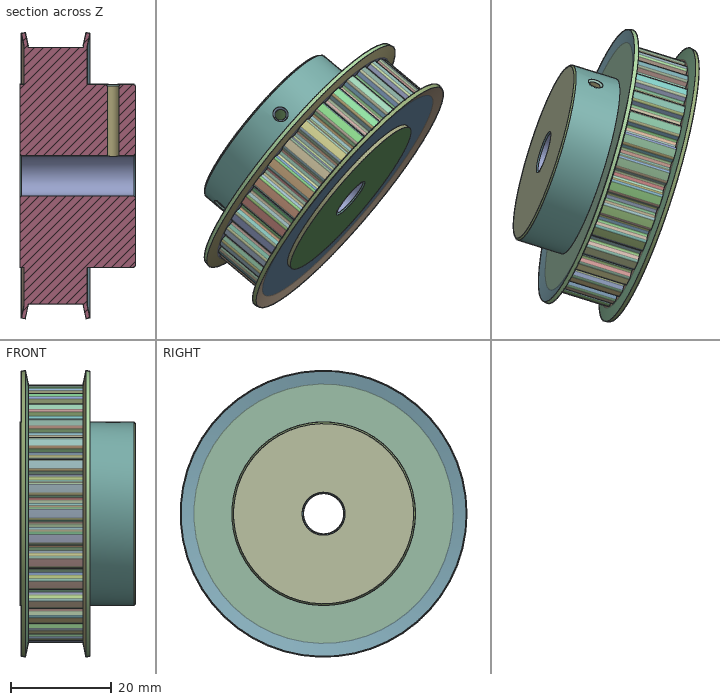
import cadquery as cq
import math


overall_length = 23.05
flange_diameter = 57.15

tooth_count = 32
tip_radius = 25.6
groove_depth = 1.45
groove_floor_width = 1.3
flank_angle = 25.0
tooth_fillet = 0.5
belt_width = 10.9
belt_start = 1.65

sheet_thickness = 0.85
bend_angle = 12.0
bend_radius = 25.85

hub_diameter = 36.6
bore_diameter = 8.0
hub_chamfer = 0.35
bore_chamfer = 0.3
screw_angles = (0.0, -90.0)
screw_diameter = 2.25
screw_mouth_diameter = 3.1
screw_position = 18.6

belt_center = belt_start + belt_width / 2
tooth_pitch_angle = 360.0 / tooth_count
cut_margin = 0.6


def make_hub():
    """Full-length cylinder that fills both flanges and forms the rear hub."""
    hub = cq.Workplane("YZ").circle(hub_diameter / 2).extrude(overall_length)
    return hub.faces(">X").chamfer(hub_chamfer)


def make_groove_cutter():
    """One belt groove at the top of the pulley, with straight flanks and sharp corners."""
    floor_radius = tip_radius - groove_depth
    cutter_top = tip_radius + cut_margin
    floor_half = groove_floor_width / 2
    top_half = floor_half + (cutter_top - floor_radius) * math.tan(math.radians(flank_angle))
    outline = [
        (-floor_half, floor_radius),
        (floor_half, floor_radius),
        (top_half, cutter_top),
        (-top_half, cutter_top),
    ]
    return cq.Workplane("YZ").polyline(outline).close().extrude(belt_width)


def make_toothed_rim():
    """Grooved wheel between the flanges, with a tooth centred on the Z axis."""
    rim = cq.Workplane("YZ").circle(tip_radius).extrude(belt_width)
    groove = make_groove_cutter()
    for index in range(tooth_count):
        angle = (index + 0.5) * tooth_pitch_angle
        rim = rim.cut(groove.rotate((0, 0, 0), (1, 0, 0), angle))
    rim = rim.edges("|X").fillet(tooth_fillet)
    return rim.translate((belt_start, 0, 0))


def make_flange(side):
    """Bent sheet flange; side is -1 for the front flange and 1 for the rear one."""
    bend = math.radians(bend_angle)
    rim_radius = flange_diameter / 2
    inner_bend_radius = bend_radius + sheet_thickness * math.tan(bend / 2)
    inner_offset = belt_width / 2
    outer_offset = inner_offset + sheet_thickness
    rim_inner_offset = inner_offset + (rim_radius - inner_bend_radius) * math.tan(bend)
    rim_outer_offset = rim_inner_offset + sheet_thickness * math.cos(bend)
    rim_outer_radius = rim_radius - sheet_thickness * math.sin(bend)
    section = [
        (inner_offset, 0),
        (inner_offset, inner_bend_radius),
        (rim_inner_offset, rim_radius),
        (rim_outer_offset, rim_outer_radius),
        (outer_offset, bend_radius),
        (outer_offset, 0),
    ]
    points = [(belt_center + side * offset, radius) for offset, radius in section]
    return cq.Workplane("XY").polyline(points).close().revolve(360, (0, 0, 0), (1, 0, 0))


def make_bore_cutter():
    """Through bore that widens into a 45 degree chamfer at both ends."""
    radius = bore_diameter / 2
    section = [
        (0, 0),
        (0, radius + bore_chamfer),
        (bore_chamfer, radius),
        (overall_length - bore_chamfer, radius),
        (overall_length, radius + bore_chamfer),
        (overall_length, 0),
    ]
    return cq.Workplane("XY").polyline(section).close().revolve(360, (0, 0, 0), (1, 0, 0))


def make_screw_cutter(angle):
    """Set screw hole from the hub surface into the bore, with a conical mouth."""
    radius = screw_diameter / 2
    mouth_radius = screw_mouth_diameter / 2
    mouth_depth = mouth_radius - radius
    hub_radius = hub_diameter / 2
    section = [
        (0, 0),
        (radius, 0),
        (radius, hub_radius - mouth_depth),
        (mouth_radius, hub_radius),
        (mouth_radius, hub_radius + cut_margin),
        (0, hub_radius + cut_margin),
    ]
    cutter = cq.Workplane("XZ").polyline(section).close().revolve(360, (0, 0, 0), (0, 1, 0))
    cutter = cutter.translate((screw_position, 0, 0))
    return cutter.rotate((0, 0, 0), (1, 0, 0), angle)


result = (
    make_hub()
    .union(make_toothed_rim())
    .union(make_flange(-1))
    .union(make_flange(1))
    .cut(make_bore_cutter())
)
for screw_angle in screw_angles:
    result = result.cut(make_screw_cutter(screw_angle))